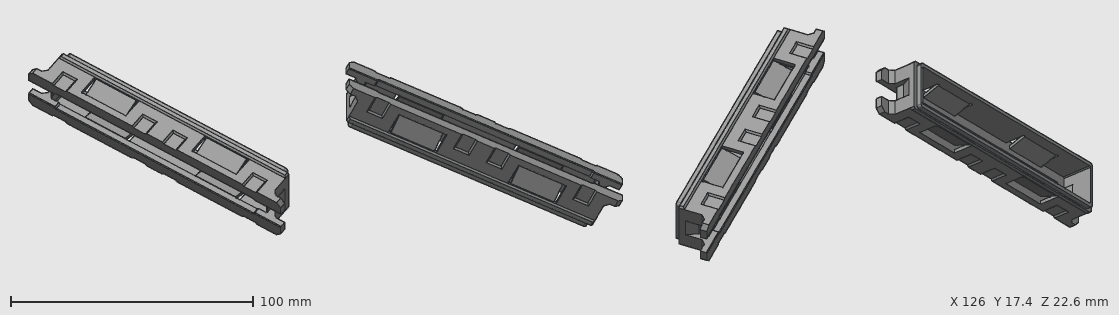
import cadquery as cq
import math

total_length = 126.0
total_depth = 17.4
body_height = 21.0
body_length = 113.4
foot_depth = 3.0
foot_corner = 1.9
foot_end_chamfer = 2.0

rim_length = 109.6
rim_start = 15.2
rim_fillet = 1.3
rib_height = 0.8
rib_front = 13.5

cavity_length = 107.4
plate_thickness = 1.6
cavity_chamfer = 0.5

slot_height = 8.1
slot_depth = 3.4
slot_wide_height = 9.5
slot_wide_length = 98.5
lip_chamfer = 0.4

recess_floor_x = 54.0
recess_floor_end = 7.3
recess_end = 12.3

pocket_places = (7.5, 47.5)
pocket_width = 7.3
pocket_length = 7.7
pocket_depth = 0.8

window_place = 27.6
window_width = 22.2
window_end = 12.7
tongue_width = 20.0
tongue_front = 4.2
tongue_bend = 12.2
tongue_angle = 19.0

bevel_angle = 45.0
body_top = body_height / 2
cavity_top = body_top - plate_thickness
sides = (-1, 1)


def box(x_size, y_start, y_end, z_size):
    """Block centred on x = 0 and z = 0, from y_start to y_end."""
    return cq.Workplane("XY").box(x_size, y_end - y_start, z_size).translate((0, (y_start + y_end) / 2, 0))


def side_profile(points, width, x_centre=0):
    """Outline of (y, z) points extruded along X about x_centre."""
    profile = cq.Workplane("YZ", origin=(x_centre, 0, 0)).polyline(points).close()
    return profile.extrude(width / 2, both=True)


def both_plates(shape):
    """The shape on the top plate together with its mirror on the bottom plate."""
    return shape.union(shape.mirror("XY"))


def make_shell():
    foot = box(total_length, 0, foot_depth, body_height).edges("|Y").chamfer(foot_end_chamfer)
    half = body_length / 2
    body_outline = [
        (-half - foot_corner, foot_depth),
        (-half, foot_depth + foot_corner),
        (-half, rim_start),
        (half, rim_start),
        (half, foot_depth + foot_corner),
        (half + foot_corner, foot_depth),
    ]
    body = cq.Workplane("XY").polyline(body_outline).close().extrude(body_top, both=True)
    rim = box(rim_length, rim_start, total_depth, body_height).edges("|Y").fillet(rim_fillet)
    return foot.union(body).union(rim)


def make_rib():
    points = [
        (rim_start, body_top - rib_height),
        (rim_start, body_top + rib_height),
        (rib_front, body_top + rib_height),
        (rib_front - rib_height, body_top),
        (rib_front - rib_height, body_top - rib_height),
    ]
    return side_profile(points, body_length).edges("|Y and >Z").chamfer(rib_height)


def make_cavity():
    return box(cavity_length, foot_depth, total_depth, 2 * cavity_top).edges("|Y").chamfer(cavity_chamfer)


def make_slot():
    """Slot through the front lips, widened by 45 degree steps, with chamfered front edges."""
    narrow = slot_height / 2
    wide = slot_wide_height / 2
    step_top = slot_wide_length / 2
    step_foot = step_top + wide - narrow
    upper_side = [
        (-total_length, narrow),
        (-step_foot, narrow),
        (-step_top, wide),
        (step_top, wide),
        (step_foot, narrow),
        (total_length, narrow),
    ]
    lower_side = [(x, -z) for x, z in reversed(upper_side)]
    outline = upper_side + lower_side
    straight = cq.Workplane("XZ").polyline(outline).close().extrude(-slot_depth)
    flare_start = cq.Workplane("XZ", origin=(0, lip_chamfer, 0))
    flare = flare_start.polyline(outline).close().extrude(lip_chamfer, taper=-bevel_angle)
    return straight.union(flare)


def make_end_recess():
    """Recess in the +X end wall, with a sloping rear side."""
    body_end = body_length / 2
    points = [
        (total_length, 0),
        (recess_floor_x, 0),
        (recess_floor_x, recess_floor_end),
        (body_end, recess_end),
        (total_length, recess_end),
    ]
    return cq.Workplane("XY").polyline(points).close().extrude(slot_height / 2, both=True)


def make_pocket(x_centre):
    """Pocket in the top plate, open at the front and with sides sloping at 45 degrees."""
    return (
        cq.Workplane("XY", origin=(x_centre, 0, body_top))
        .rect(pocket_width, 2 * pocket_length)
        .extrude(-pocket_depth, taper=bevel_angle)
    )


def make_window(x_centre):
    return (
        cq.Workplane("XY", origin=(x_centre, (foot_depth + window_end) / 2, cavity_top))
        .rect(window_width, window_end - foot_depth)
        .extrude(plate_thickness)
    )


def make_tongue(x_centre):
    """Tongue hinged at the rear of a window and dipping inwards towards the front."""
    drop = (tongue_bend - tongue_front) * math.tan(math.radians(tongue_angle))
    points = [
        (window_end, body_top),
        (tongue_bend, body_top),
        (tongue_front, body_top - drop),
        (tongue_front, body_top - drop - plate_thickness),
        (tongue_bend, body_top - plate_thickness),
        (window_end, body_top - plate_thickness),
    ]
    return side_profile(points, tongue_width, x_centre)


result = make_shell().union(both_plates(make_rib()))
result = result.cut(make_cavity())
result = result.cut(make_slot())

recess = make_end_recess()
result = result.cut(recess).cut(recess.mirror("YZ"))

for side in sides:
    for place in pocket_places:
        result = result.cut(both_plates(make_pocket(side * place)))
    result = result.cut(both_plates(make_window(side * window_place)))
    result = result.union(both_plates(make_tongue(side * window_place)))